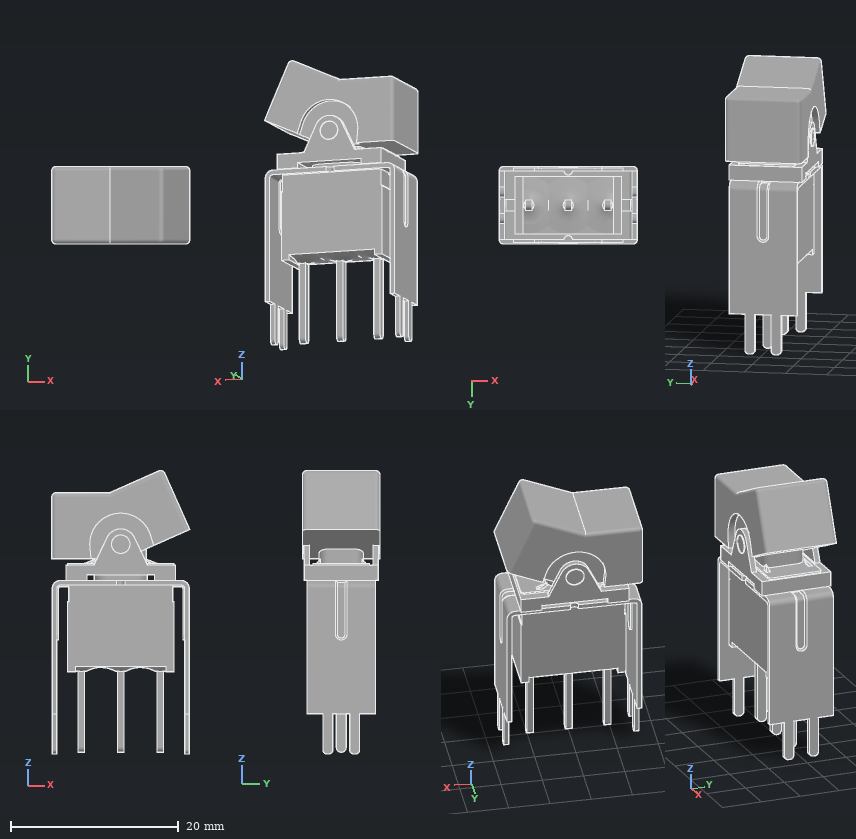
import cadquery as cq
import math


OVERALL_LENGTH = 16.48
OVERALL_WIDTH = 9.27
OVERALL_HEIGHT = 33.81

ROCKER_TILT = 12.0
ROCKER_TOP_Z = 10.46
ROCKER_EDGE_RADIUS = 0.55
PIVOT_Z = 4.31
PIVOT_DIAMETER = 2.2
PIVOT_HEAD_HEIGHT = 0.1
RECESS_RADIUS = 3.7
RECESS_FLARE = 6.0

FRAME_LENGTH = 13.1
FRAME_WIDTH = 8.85
FRAME_HEIGHT = 1.82
FRAME_SLOT_LENGTH = 8.0
FRAME_SLOT_HEIGHT = 0.65
EAR_THICKNESS = 0.67
EAR_RADIUS = 1.82
EAR_BASE_LENGTH = 6.4
PLATE_LENGTH = 12.66
PLATE_WIDTH = 6.74
PLATE_HEIGHT = 0.2
PLATE_CORNER_RADIUS = 0.45

STEM_LENGTH = 6.08
STEM_WIDTH = 5.26
STEM_CORNER_RADIUS = 1.13
BUSHING_LENGTH = 6.36
BUSHING_CORNER_RADIUS = 1.63
FIN_TIP_X = 4.35
FIN_UNDERSIDE_X = 3.6
FIN_TOP_Z = 2.53
FIN_UNDERSIDE_Z = 2.28
FIN_INNER_Y = 2.45
FIN_OUTER_Y = 2.95

BRACKET_LENGTH = 16.34
BRACKET_WIDTH = 8.22
BRACKET_THICKNESS = 0.57
BEND_RADIUS = 0.95
SHOULDER_Z = -15.9
PRONG_WIDTH = 1.2
PRONG_SPACING = 3.18
PRONG_TIP_RADIUS = 0.5
NOTCH_RADIUS = 0.5
GROOVE_FLOOR_WIDTH = 0.94
GROOVE_DEPTH = 0.25
GROOVE_RIM_CHAMFER = 0.23
GROOVE_END_Z = -7.1
RIB_HEIGHT = 0.2

HOUSING_LENGTH = 12.7
HOUSING_WIDTH = 6.9
HOUSING_BOTTOM_Z = -10.9
HOUSING_NECK_LENGTH = 12.44
HOUSING_NECK_BOTTOM_Z = -2.55
CAVITY_LENGTH = 10.76
CAVITY_DEPTH = 0.64

TERMINAL_PITCH = 4.7
TERMINAL_THICKNESS = 0.8
TERMINAL_WIDTH = 1.2
TERMINAL_TIP_RADIUS = 0.58
TERMINAL_SETBACK = 0.21
SEAL_RADIUS = 3.4
SEAL_TIP_RADIUS = 0.6
SEAL_HEIGHT = 0.6
SEAL_EDGE_HEIGHT = 0.13

ROCKER_HALF_LENGTH = OVERALL_LENGTH / 2
TILT = math.radians(ROCKER_TILT)
AXIS_X = -math.sin(TILT)
AXIS_Z = math.cos(TILT)
ROCKER_BOTTOM_Z = PIVOT_Z - ROCKER_HALF_LENGTH * math.tan(TILT)
EAR_INNER_Y = FRAME_WIDTH / 2 - EAR_THICKNESS
CAVITY_TOP_Z = HOUSING_BOTTOM_Z + CAVITY_DEPTH
RIM_WIDTH = GROOVE_FLOOR_WIDTH + 2 * GROOVE_RIM_CHAMFER


def block(length, width, bottom_z, top_z):
    """Box centred on X and Y between two heights."""
    height = top_z - bottom_z
    return cq.Workplane("XY").box(length, width, height, (True, True, False)).translate((0, 0, bottom_z))


def both_ends(shape):
    """The shape together with its mirror image across the YZ plane."""
    return shape.union(shape.mirror("YZ"))


def both_sides(shape):
    """The shape together with its mirror image across the XZ plane."""
    return shape.union(shape.mirror("XZ"))


def front_extrusion(sketch, width):
    """Solid from a closed XZ sketch, centred on Y."""
    return sketch.extrude(width / 2, both=True)


def make_recess():
    """Arched pocket in one side of the cap that clears an ear."""
    flare = math.radians(RECESS_FLARE)
    leg_length = RECESS_RADIUS
    tangent_x = RECESS_RADIUS * math.cos(flare)
    tangent_z = RECESS_RADIUS * math.sin(flare)
    foot_x = tangent_x + leg_length * math.sin(flare)
    foot_z = tangent_z - leg_length * math.cos(flare)
    return (
        cq.Workplane("XZ", origin=(0, -EAR_INNER_Y, 0))
        .moveTo(-foot_x, foot_z)
        .lineTo(-tangent_x, tangent_z)
        .threePointArc((0, RECESS_RADIUS), (tangent_x, tangent_z))
        .lineTo(foot_x, foot_z)
        .close()
        .extrude(OVERALL_WIDTH)
        .rotate((0, 0, 0), (0, 1, 0), -ROCKER_TILT)
        .translate((0, 0, PIVOT_Z))
    )


def make_rocker():
    """Level half, plus the same half turned about the tilted axis, less the ear recesses."""
    level_half = (
        block(OVERALL_LENGTH, OVERALL_WIDTH, ROCKER_BOTTOM_Z, ROCKER_TOP_Z)
        .edges("(>Z or <X) and (not <Z) and (not >X)")
        .fillet(ROCKER_EDGE_RADIUS)
    )
    left_of_axis = (
        cq.Workplane("XY")
        .box(2 * OVERALL_LENGTH, 2 * OVERALL_WIDTH, 2 * OVERALL_LENGTH)
        .translate((-OVERALL_LENGTH, 0, 0))
        .rotate((0, 0, 0), (0, 1, 0), -ROCKER_TILT)
        .translate((0, 0, PIVOT_Z))
    )
    level_half = level_half.intersect(left_of_axis)
    raised_half = level_half.rotate((0, 0, PIVOT_Z), (AXIS_X, 0, PIVOT_Z + AXIS_Z), 180)
    return level_half.union(raised_half).cut(both_sides(make_recess()))


def make_ear():
    """Tapered ear whose sides run tangent into the round end about the pivot."""
    rise = PIVOT_Z - FRAME_HEIGHT
    half_base = EAR_BASE_LENGTH / 2
    tangent_angle = math.acos(EAR_RADIUS / math.hypot(half_base, rise)) - math.atan2(rise, half_base)
    tangent_x = EAR_RADIUS * math.cos(tangent_angle)
    tangent_z = PIVOT_Z + EAR_RADIUS * math.sin(tangent_angle)
    return (
        cq.Workplane("XZ", origin=(0, -EAR_INNER_Y, 0))
        .moveTo(-half_base, FRAME_HEIGHT)
        .lineTo(-tangent_x, tangent_z)
        .threePointArc((0, PIVOT_Z + EAR_RADIUS), (tangent_x, tangent_z))
        .lineTo(half_base, FRAME_HEIGHT)
        .close()
        .extrude(EAR_THICKNESS)
    )


def make_frame():
    """Slotted base, thin top plate, ears and pivot pin."""
    base = block(FRAME_LENGTH, FRAME_WIDTH, 0, FRAME_HEIGHT)
    slot = block(FRAME_SLOT_LENGTH, FRAME_WIDTH, 0, FRAME_SLOT_HEIGHT)
    plate = block(PLATE_LENGTH, PLATE_WIDTH, FRAME_HEIGHT, FRAME_HEIGHT + PLATE_HEIGHT)
    plate = plate.edges("|Z").fillet(PLATE_CORNER_RADIUS)
    pin_sketch = cq.Workplane("XZ").center(0, PIVOT_Z).circle(PIVOT_DIAMETER / 2)
    pin = front_extrusion(pin_sketch, FRAME_WIDTH + 2 * PIVOT_HEAD_HEIGHT)
    return base.cut(slot).union(plate).union(both_sides(make_ear())).union(pin)


def make_fin():
    """Slanted strut beside one stem corner, standing on the top plate, with a sloping outer side."""
    plate_top = FRAME_HEIGHT + PLATE_HEIGHT
    stem_end_x = STEM_LENGTH / 2
    strut_points = [
        (stem_end_x, FIN_TOP_Z),
        (FIN_TIP_X, plate_top),
        (FIN_UNDERSIDE_X, plate_top),
        (stem_end_x, FIN_UNDERSIDE_Z),
    ]
    slope_points = [
        (-FIN_INNER_Y, plate_top),
        (-FIN_INNER_Y, FIN_TOP_Z),
        (-FIN_OUTER_Y, plate_top),
    ]
    strut = front_extrusion(cq.Workplane("XZ").polyline(strut_points).close(), FRAME_WIDTH)
    slope = cq.Workplane("YZ").polyline(slope_points).close().extrude(FRAME_LENGTH)
    return strut.intersect(slope)


def make_stem():
    """Rounded stem up into the cap, with the bushing below it and a fin at each corner."""
    stem = block(STEM_LENGTH, STEM_WIDTH, FRAME_SLOT_HEIGHT, PIVOT_Z)
    stem = stem.edges("|Z").fillet(STEM_CORNER_RADIUS)
    bushing = block(BUSHING_LENGTH, STEM_WIDTH, 0, FRAME_SLOT_HEIGHT)
    bushing = bushing.edges("|Z").fillet(BUSHING_CORNER_RADIUS)
    return stem.union(bushing).union(both_ends(both_sides(make_fin())))


def channel(inset, bottom_z):
    """Block filling the bracket outline, moved inward by the inset, down to the given height."""
    return (
        block(BRACKET_LENGTH - 2 * inset, BRACKET_WIDTH, bottom_z, -inset)
        .edges("|Y and >Z")
        .fillet(BEND_RADIUS - inset)
    )


def groove_path(width):
    """Round-ended strip down the left leg, running over the bend to the side of the housing."""
    outer_x = BRACKET_LENGTH / 2
    reach = outer_x - HOUSING_NECK_LENGTH / 2
    end_centre_z = GROOVE_END_Z + RIM_WIDTH / 2
    half = width / 2
    return (
        cq.Workplane("YZ", origin=(-outer_x, 0, 0))
        .moveTo(-half, 0)
        .lineTo(-half, end_centre_z)
        .threePointArc((0, end_centre_z - half), (half, end_centre_z))
        .lineTo(half, 0)
        .close()
        .extrude(reach)
    )


def cut_grooves(bracket, bottom_z):
    """Press a stiffening groove with a chamfered rim into both legs."""
    floor = channel(GROOVE_DEPTH, bottom_z)
    bracket = bracket.cut(both_ends(groove_path(GROOVE_FLOOR_WIDTH).cut(floor)))

    def is_rim(edge):
        box = edge.BoundingBox()
        within_groove = max(-box.ymin, box.ymax) < RIM_WIDTH / 2 and box.zmin > GROOVE_END_Z
        return within_groove and floor.val().distance(edge) > GROOVE_DEPTH / 2

    return bracket.edges().filter(is_rim).chamfer(GROOVE_RIM_CHAMFER)


def make_bracket(bottom_z):
    """U-shaped bracket with grooved legs that end in two prongs each."""
    bracket = channel(0, bottom_z).cut(channel(BRACKET_THICKNESS, bottom_z))
    bracket = cut_grooves(bracket, bottom_z)

    prong = (
        block(BRACKET_LENGTH, PRONG_WIDTH, bottom_z, SHOULDER_Z)
        .edges("|X and <Z")
        .fillet(PRONG_TIP_RADIUS)
        .translate((0, -PRONG_SPACING / 2, 0))
    )
    below_shoulders = block(BRACKET_LENGTH, BRACKET_WIDTH, bottom_z, SHOULDER_Z)
    bracket = bracket.cut(below_shoulders.cut(both_sides(prong)))

    notch = (
        cq.Workplane("XY", origin=(0, -BRACKET_WIDTH / 2, -BRACKET_THICKNESS))
        .circle(NOTCH_RADIUS)
        .extrude(BRACKET_THICKNESS)
    )
    bracket = bracket.cut(both_sides(notch))

    inside = channel(BRACKET_THICKNESS, bottom_z).cut(channel(BRACKET_THICKNESS + RIB_HEIGHT, bottom_z))
    rib = groove_path(RIM_WIDTH).intersect(inside)
    return bracket.union(both_ends(rib))


def make_housing():
    """Housing with a narrower neck and a shallow cavity across its underside."""
    neck = block(HOUSING_NECK_LENGTH, HOUSING_WIDTH, HOUSING_NECK_BOTTOM_Z, -BRACKET_THICKNESS)
    body = block(HOUSING_LENGTH, HOUSING_WIDTH, HOUSING_BOTTOM_Z, HOUSING_NECK_BOTTOM_Z)
    cavity = block(CAVITY_LENGTH, HOUSING_WIDTH, HOUSING_BOTTOM_Z, CAVITY_TOP_Z)
    return neck.union(body).cut(cavity)


def make_seal():
    """Flare of sealant around one terminal, arching up to a level crest midway to the next one."""
    crest_radius = TERMINAL_PITCH / 2
    crest_z = CAVITY_TOP_Z - SEAL_EDGE_HEIGHT
    tip_z = CAVITY_TOP_Z - SEAL_HEIGHT
    run = crest_radius - SEAL_TIP_RADIUS
    drop = crest_z - tip_z
    arch_radius = (run**2 + drop**2) / (2 * drop)
    half_angle = math.asin(run / arch_radius) / 2
    arch_middle = (
        crest_radius - arch_radius * math.sin(half_angle),
        crest_z - arch_radius * (1 - math.cos(half_angle)),
    )
    return (
        cq.Workplane("XZ")
        .moveTo(0, CAVITY_TOP_Z)
        .lineTo(SEAL_RADIUS, CAVITY_TOP_Z)
        .lineTo(crest_radius, crest_z)
        .threePointArc(arch_middle, (SEAL_TIP_RADIUS, tip_z))
        .lineTo(0, tip_z)
        .close()
        .revolve(360, (0, 0, 0), (0, 1, 0))
    )


def make_terminals(bottom_z):
    """Row of three terminals with round tips, each set in sealant."""
    terminal = (
        block(TERMINAL_THICKNESS, TERMINAL_WIDTH, bottom_z, CAVITY_TOP_Z)
        .edges("|X and <Z")
        .fillet(TERMINAL_TIP_RADIUS)
    )
    cavity = block(CAVITY_LENGTH, HOUSING_WIDTH, HOUSING_BOTTOM_Z, CAVITY_TOP_Z)
    row = cq.Workplane("XY")
    for position in (-1, 0, 1):
        place = (position * TERMINAL_PITCH, 0, 0)
        row = row.union(make_seal().translate(place).intersect(cavity))
        row = row.union(terminal.translate(place))
    return row


rocker = make_rocker()
bracket_bottom_z = rocker.val().BoundingBox().zmax - OVERALL_HEIGHT

result = (
    make_housing()
    .union(make_bracket(bracket_bottom_z))
    .union(make_terminals(bracket_bottom_z + TERMINAL_SETBACK))
    .union(make_frame())
    .union(make_stem())
    .union(rocker)
)